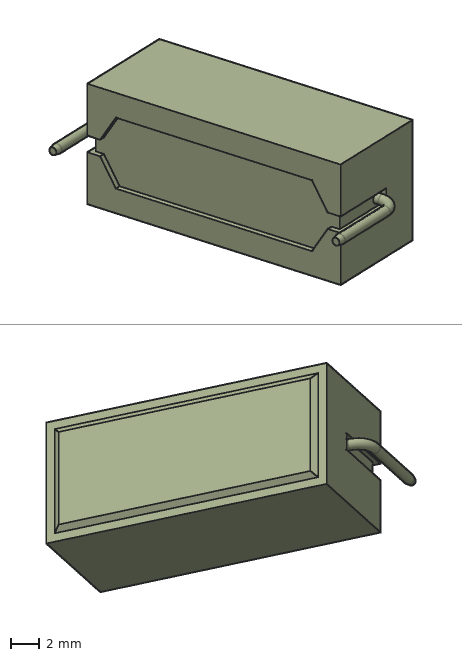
import cadquery as cq
import math

overall_length = 25.4
housing_length = 22.0
housing_depth = 8.75
housing_height = 9.5

pad_rise = 0.3
pad_inset = 0.65
pad_edge_run = 0.45

recess_depth = 0.45
recess_height = 5.6
neck_length = 1.12
panel_inset = 2.5

slot_height = 1.3
slot_depth = 5.51
slot_width = 0.4

wire_radius = 0.4
wire_y = 4.93
lead_overhang = 2.36
lead_x = overall_length / 2 - wire_radius
bend_radius = lead_x - housing_length / 2
tip_length = 0.5
tip_radius = 0.3


def make_pad():
    """Raised pad on the back face with sloping edges."""
    base_length = housing_length - 2 * pad_inset
    base_height = housing_height - 2 * pad_inset
    return (
        cq.Workplane("XZ", origin=(0, housing_depth, 0))
        .rect(base_length, base_height)
        .workplane(offset=-pad_rise)
        .rect(base_length - 2 * pad_edge_run, base_height - 2 * pad_edge_run)
        .loft(ruled=True)
    )


def make_upper_recess():
    """Cutter for the upper half of the shallow front recess, including its two open necks."""
    end_x = housing_length / 2
    neck_x = end_x - neck_length
    panel_x = end_x - panel_inset
    neck_z = slot_height / 2
    panel_z = recess_height / 2
    return (
        cq.Workplane("XZ")
        .moveTo(-end_x, neck_z)
        .lineTo(-neck_x, neck_z)
        .lineTo(-panel_x, panel_z)
        .lineTo(panel_x, panel_z)
        .lineTo(neck_x, neck_z)
        .lineTo(end_x, neck_z)
        .lineTo(end_x, 0)
        .lineTo(-end_x, 0)
        .close()
        .extrude(-recess_depth)
    )


def make_slot(side):
    """Cutter for the lead slot in one end face; side is -1 or 1."""
    slot_x = side * (housing_length - slot_width) / 2
    return cq.Workplane("XY").box(slot_width, slot_depth, slot_height).translate((slot_x, slot_depth / 2, 0))


def make_wire():
    """Round wire: straight through the housing, bent forward at both ends, with tapered tips."""
    bend_x = lead_x - bend_radius
    bend_y = wire_y - bend_radius
    arc_x = bend_x + bend_radius * math.sin(math.pi / 4)
    arc_y = bend_y + bend_radius * math.cos(math.pi / 4)
    taper_y = tip_length - lead_overhang
    path = (
        cq.Workplane("XY")
        .moveTo(-lead_x, taper_y)
        .lineTo(-lead_x, bend_y)
        .threePointArc((-arc_x, arc_y), (-bend_x, wire_y))
        .lineTo(bend_x, wire_y)
        .threePointArc((arc_x, arc_y), (lead_x, bend_y))
        .lineTo(lead_x, taper_y)
    )
    wire = cq.Workplane("XZ", origin=(-lead_x, taper_y, 0)).circle(wire_radius).sweep(path)
    for side in (-1, 1):
        tip = (
            cq.Workplane("XZ", origin=(side * lead_x, taper_y, 0))
            .circle(wire_radius)
            .workplane(offset=tip_length)
            .circle(tip_radius)
            .loft()
        )
        wire = wire.union(tip)
    return wire


def make_housing(wire):
    """Block with back pad, front recess, end slots and a bore that fits the wire."""
    block = cq.Workplane("XY").box(housing_length, housing_depth, housing_height)
    housing = block.translate((0, housing_depth / 2, 0)).union(make_pad())
    upper_recess = make_upper_recess()
    housing = housing.cut(upper_recess).cut(upper_recess.mirror("XY"))
    for side in (-1, 1):
        housing = housing.cut(make_slot(side))
    return housing.cut(wire)


wire = make_wire()
housing = make_housing(wire)
result = cq.Compound.makeCompound([*housing.solids().vals(), *wire.solids().vals()])